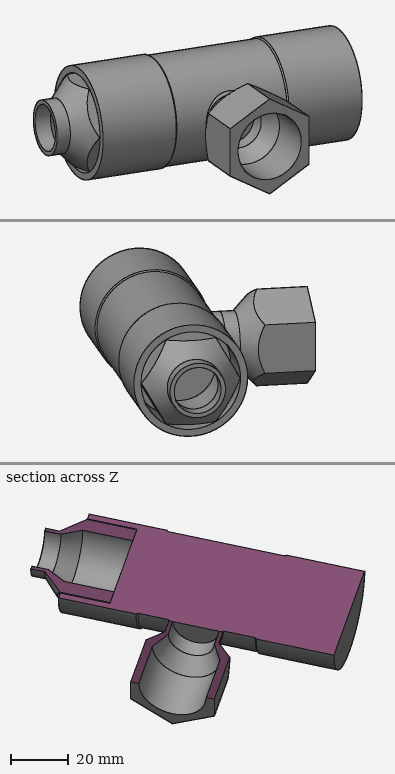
import cadquery as cq
import math

LENGTH = 111.5
WIDTH = 70.5
INLET_END_Y = -LENGTH / 2
HOUSING_BACK_Y = LENGTH / 2

BODY_DIA = 39.0
COLLAR_DIA = 40.0
COLLAR_LENGTH = 27.9
COLLAR_CHAMFER = (COLLAR_DIA - BODY_DIA) / 2
HOUSING_FRONT_Y = -43.0
RECESS_DIA = 35.0

NECK_DIA = 19.5
NECK_LENGTH = 5.0
NECK_BORE_DIA = 16.5
NECK_BORE_DEPTH = 5.9
HEX_FLATS = 30.1
HEX_CORNERS = HEX_FLATS / math.cos(math.pi / 6)
SOCKET_DIA = 24.1
FITTING_LENGTH = 30.4

BRANCH_Y = 6.2
BRANCH_END_X = WIDTH - COLLAR_DIA / 2
BRANCH_SEAT_X = BRANCH_END_X - FITTING_LENGTH


def cylinder_y(diameter, start, end):
    """Cylinder on the Y axis between two Y positions."""
    return cq.Workplane("XZ", origin=(0, start, 0)).circle(diameter / 2).extrude(start - end)


def make_collar():
    """Collar on the Y axis from Y = 0 to its chamfered +Y end, which tapers to the body."""
    half_profile = (
        cq.Workplane("XY")
        .lineTo(COLLAR_DIA / 2, 0)
        .lineTo(COLLAR_DIA / 2, COLLAR_LENGTH)
        .lineTo(BODY_DIA / 2, COLLAR_LENGTH + COLLAR_CHAMFER)
        .lineTo(0, COLLAR_LENGTH + COLLAR_CHAMFER)
        .close()
    )
    return half_profile.revolve(360, (0, 0, 0), (0, 1, 0))


def make_housing():
    """Collared body with a branch boss and a recess around the inlet fitting."""
    body = cylinder_y(BODY_DIA, HOUSING_FRONT_Y, HOUSING_BACK_Y)
    front_collar = make_collar().translate((0, HOUSING_FRONT_Y, 0))
    back_collar = make_collar().mirror("XZ").translate((0, HOUSING_BACK_Y, 0))
    boss = cq.Workplane("YZ", origin=(0, BRANCH_Y, 0)).circle(NECK_DIA / 2).extrude(BRANCH_SEAT_X)
    recess = cylinder_y(RECESS_DIA, HOUSING_FRONT_Y, INLET_END_Y + FITTING_LENGTH)
    return body.union(front_collar).union(back_collar).union(boss).cut(recess)


def make_fitting():
    """Fitting along +Z with its neck end at the origin and two hex corners on the X axis."""
    neck_radius = NECK_DIA / 2
    cone_rise = HEX_CORNERS / 2 - neck_radius
    envelope = (
        cq.Workplane("XZ")
        .lineTo(neck_radius, 0)
        .lineTo(neck_radius, NECK_LENGTH)
        .lineTo(HEX_CORNERS / 2, NECK_LENGTH + cone_rise)
        .lineTo(HEX_CORNERS / 2, FITTING_LENGTH)
        .lineTo(0, FITTING_LENGTH)
        .close()
        .revolve(360, (0, 0, 0), (0, 1, 0))
    )
    hexagon = cq.Workplane("XY").polygon(6, HEX_CORNERS).extrude(FITTING_LENGTH)
    flare_end = NECK_LENGTH + cone_rise
    passage = (
        cq.Workplane("XZ")
        .lineTo(NECK_BORE_DIA / 2, 0)
        .lineTo(NECK_BORE_DIA / 2, NECK_BORE_DEPTH)
        .lineTo(SOCKET_DIA / 2, flare_end)
        .lineTo(SOCKET_DIA / 2, FITTING_LENGTH)
        .lineTo(0, FITTING_LENGTH)
        .close()
        .revolve(360, (0, 0, 0), (0, 1, 0))
    )
    return envelope.intersect(hexagon).cut(passage)


housing = make_housing()
fitting = make_fitting()
inlet_fitting = fitting.rotate((0, 0, 0), (1, 0, 0), -90).translate((0, INLET_END_Y, 0))
branch_fitting = fitting.rotate((0, 0, 0), (0, 1, 0), 90).translate((BRANCH_SEAT_X, BRANCH_Y, 0))

result = cq.Compound.makeCompound([
    housing.val(),
    inlet_fitting.val(),
    branch_fitting.val(),
])